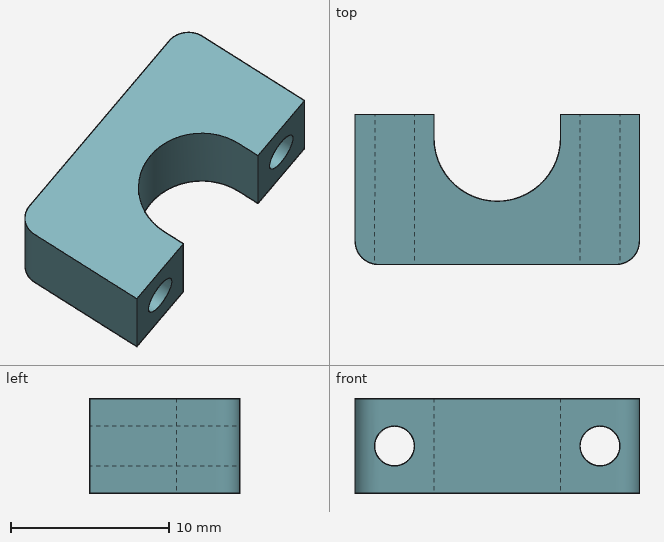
import cadquery as cq

length = 18.0
depth = 9.5
height = 6.0
corner_radius = 1.5

saddle_width = 8.0
saddle_straight = 1.5
saddle_radius = saddle_width / 2

hole_diameter = 2.5
hole_spacing = 13.0

back_y = depth / 2
saddle_center_y = back_y - saddle_straight


def make_block():
    """Block centred on the origin with its two front vertical edges rounded."""
    block = cq.Workplane("XY").box(length, depth, height)
    return block.faces("<Y").edges("|Z").fillet(corner_radius)


def make_saddle_cutter():
    """U-shaped prism: straight walls at the back, a half circle at the bottom."""
    return (
        cq.Workplane("XY")
        .moveTo(-saddle_radius, back_y)
        .lineTo(-saddle_radius, saddle_center_y)
        .threePointArc((0, saddle_center_y - saddle_radius), (saddle_radius, saddle_center_y))
        .lineTo(saddle_radius, back_y)
        .close()
        .extrude(height / 2, both=True)
    )


def make_hole_cutters():
    """Pair of cylinders at mid height, one on each side of the saddle."""
    return (
        cq.Workplane("XZ")
        .pushPoints([(side * hole_spacing / 2, 0) for side in (-1, 1)])
        .circle(hole_diameter / 2)
        .extrude(depth / 2, both=True)
    )


result = make_block().cut(make_saddle_cutter()).cut(make_hole_cutters())